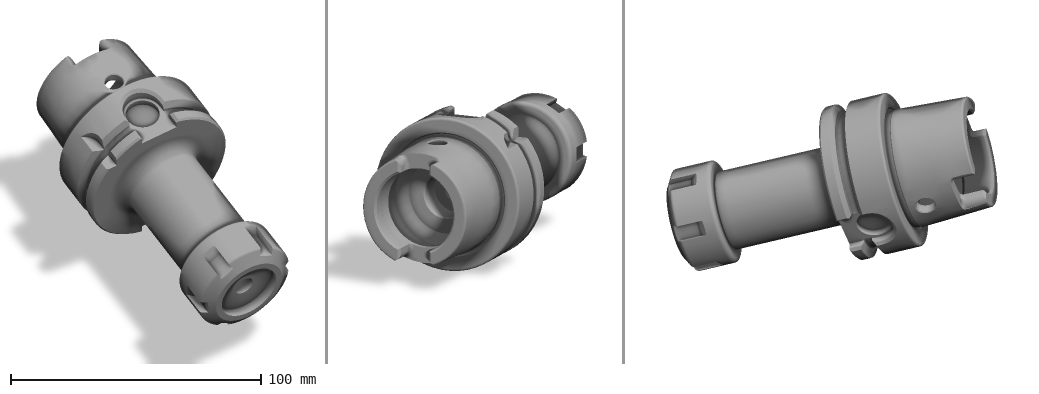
import cadquery as cq
import math


OVERALL_LENGTH = 127.1

FLANGE_X = 32.0
TAPER_END_X = 29.9
TAPER_R = 24.1
TAPER_RATIO = 0.05
TIP_R = TAPER_R - TAPER_RATIO * TAPER_END_X
TIP_ROUND_R = 0.9
RELIEF_R = 23.8
FACE_RECESS_R = 25.5
FACE_RECESS_DEPTH = 0.6

BORE_R = 16.8
MOUTH_CHAMFER = 0.9
BORE_LIP_DEPTH = 12.2
CAVITY_R = 19.8
CAVITY_FLARE_ANGLE = 60
BORE_FLOOR_X = 30.5
BORE_FLOOR_R = 15.6
COUNTERBORE_R = 9.0
COUNTERBORE_DEPTH = 10.2
COUNTERBORE_CHAMFER = 0.5
THROUGH_R = 4.1
THROUGH_CHAMFER = 0.6
CROSS_HOLE_X = 23.0
CROSS_HOLE_R = 3.8
CROSS_HOLE_CHAMFER = 0.4

KEYWAY_HALF_WIDTH = 6.2
KEYWAY_ROUND_R = 3.0
KEYWAY_ROUND_START = 17.8
KEYWAY_CORNER_R = 1.7
KEYWAY_BEVEL = 1.0
TOP_KEYWAY_DEPTH = 6.1
BOTTOM_KEYWAY_DEPTH = 10.2

FLANGE_R = 31.5
FLANGE_END_X = 57.8
FLANGE_FRONT_ROUND_R = 1.0
FLANGE_BACK_CHAMFER = 0.8
GROOVE_R = 27.5
GROOVE_X1 = 48.2
GROOVE_X2 = 51.7
GROOVE_CORNER_R = 0.5
GROOVE_FLARE_DEPTH = 2.7
GROOVE_FLARE_RUN = GROOVE_FLARE_DEPTH * math.tan(math.radians(30))

CUTTER_X = 45.0
CUTTER_R = 8.0
SLOT_FLOOR_Z = 26.5
SLOT_CHAMFER = 1.3
POCKET_R = 6.9
POCKET_DEPTH = 2.7
NOTCH_OFFSET = 20.0

NECK_R = 16.0
NECK_FILLET_R = 5.0
NECK_CHAMFER = 0.5
NECK_END_X = 106.9
NOSE_R = NECK_R - NECK_CHAMFER
NOSE_END_X = 123.3

NUT_R = 21.0
NUT_BACK_FILLET = 1.7
NUT_CONE_X = 123.7
NUT_EDGE_FILLET = 1.4
NUT_FACE_R = 15.4
NUT_OPENING_R = 12.7
NUT_SLOT_COUNT = 6
NUT_SLOT_HALF_WIDTH = 3.2
NUT_SLOT_FLOOR_R = 18.0
NUT_SLOT_X = 112.6
NUT_SLOT_RUN = 3.2
LONG_SLOT_INDEX = 2
LONG_SLOT_EXTRA = 2.0

CLEARANCE = 2.5
MARGIN = 0.1


def revolve_about_x(profile):
    """Full turn of a profile in the XY plane (Y is the radius)."""
    return profile.close().revolve(360, (0, 0, 0), (1, 0, 0))


def edges_in_box(x_range, half_width, z_range):
    """Selector for edges lying wholly inside a box centred on Y = 0."""
    low = (x_range[0], -half_width, z_range[0])
    high = (x_range[1], half_width, z_range[1])
    return cq.selectors.BoxSelector(low, high, boundingbox=True)


def holder_blank():
    """Turned outside of the holder, from shank tip to nose."""
    profile = (
        cq.Workplane("XY")
        .moveTo(0, 0)
        .lineTo(0, TIP_R - TIP_ROUND_R)
        .radiusArc((TIP_ROUND_R, TIP_R), TIP_ROUND_R)
        .lineTo(TAPER_END_X, TAPER_R)
        .lineTo(TAPER_END_X + TAPER_R - RELIEF_R, RELIEF_R)
        .lineTo(FLANGE_X + FACE_RECESS_DEPTH, RELIEF_R)
        .lineTo(FLANGE_X + FACE_RECESS_DEPTH, FACE_RECESS_R - FACE_RECESS_DEPTH)
        .lineTo(FLANGE_X, FACE_RECESS_R)
        .lineTo(FLANGE_X, FLANGE_R - FLANGE_FRONT_ROUND_R)
        .radiusArc((FLANGE_X + FLANGE_FRONT_ROUND_R, FLANGE_R), FLANGE_FRONT_ROUND_R)
        .lineTo(FLANGE_END_X - FLANGE_BACK_CHAMFER, FLANGE_R)
        .lineTo(FLANGE_END_X, FLANGE_R - FLANGE_BACK_CHAMFER)
        .lineTo(FLANGE_END_X, NECK_R + NECK_FILLET_R)
        .radiusArc((FLANGE_END_X + NECK_FILLET_R, NECK_R), -NECK_FILLET_R)
        .lineTo(NECK_END_X - NECK_CHAMFER, NECK_R)
        .lineTo(NECK_END_X, NOSE_R)
        .lineTo(NOSE_END_X, NOSE_R)
        .lineTo(NOSE_END_X, 0)
    )
    return revolve_about_x(profile)


def gripper_groove():
    """Ring-shaped cutter for the groove around the flange."""
    flare_r = FLANGE_R - GROOVE_FLARE_DEPTH
    return revolve_about_x(
        cq.Workplane("XY")
        .moveTo(GROOVE_X1 - GROOVE_FLARE_RUN, FLANGE_R)
        .lineTo(GROOVE_X1, flare_r)
        .lineTo(GROOVE_X1, GROOVE_R + GROOVE_CORNER_R)
        .radiusArc((GROOVE_X1 + GROOVE_CORNER_R, GROOVE_R), -GROOVE_CORNER_R)
        .lineTo(GROOVE_X2 - GROOVE_CORNER_R, GROOVE_R)
        .radiusArc((GROOVE_X2, GROOVE_R + GROOVE_CORNER_R), -GROOVE_CORNER_R)
        .lineTo(GROOVE_X2, flare_r)
        .lineTo(GROOVE_X2 + GROOVE_FLARE_RUN, FLANGE_R)
        .lineTo(GROOVE_X2 + GROOVE_FLARE_RUN, FLANGE_R + CLEARANCE)
        .lineTo(GROOVE_X1 - GROOVE_FLARE_RUN, FLANGE_R + CLEARANCE)
    )


def holder_bore():
    """Stepped bore of the holder as a cutting solid."""
    cavity_x = BORE_LIP_DEPTH + (CAVITY_R - BORE_R) / math.tan(math.radians(CAVITY_FLARE_ANGLE))
    floor_chamfer = CAVITY_R - BORE_FLOOR_R
    counterbore_x = BORE_FLOOR_X + COUNTERBORE_DEPTH
    profile = (
        cq.Workplane("XY")
        .moveTo(-CLEARANCE, 0)
        .lineTo(-CLEARANCE, BORE_R + MOUTH_CHAMFER + CLEARANCE)
        .lineTo(MOUTH_CHAMFER, BORE_R)
        .lineTo(BORE_LIP_DEPTH, BORE_R)
        .lineTo(cavity_x, CAVITY_R)
        .lineTo(BORE_FLOOR_X - floor_chamfer, CAVITY_R)
        .lineTo(BORE_FLOOR_X, BORE_FLOOR_R)
        .lineTo(BORE_FLOOR_X, COUNTERBORE_R + COUNTERBORE_CHAMFER)
        .lineTo(BORE_FLOOR_X + COUNTERBORE_CHAMFER, COUNTERBORE_R)
        .lineTo(counterbore_x, COUNTERBORE_R)
        .lineTo(counterbore_x, THROUGH_R + THROUGH_CHAMFER)
        .lineTo(counterbore_x + THROUGH_CHAMFER, THROUGH_R)
        .lineTo(OVERALL_LENGTH, THROUGH_R)
        .lineTo(OVERALL_LENGTH, 0)
    )
    return revolve_about_x(profile)


def keyway(depth):
    """Cutter for the tip keyway on the +Z side; its walls round outwards."""
    wide = KEYWAY_HALF_WIDTH + KEYWAY_ROUND_R
    round_end = KEYWAY_ROUND_START + KEYWAY_ROUND_R
    top = TAPER_R + CLEARANCE
    cutter = (
        cq.Workplane("YZ", origin=(-CLEARANCE, 0, 0))
        .moveTo(-KEYWAY_HALF_WIDTH, 0)
        .lineTo(KEYWAY_HALF_WIDTH, 0)
        .lineTo(KEYWAY_HALF_WIDTH, KEYWAY_ROUND_START)
        .radiusArc((wide, round_end), KEYWAY_ROUND_R)
        .lineTo(wide, top)
        .lineTo(-wide, top)
        .lineTo(-wide, round_end)
        .radiusArc((-KEYWAY_HALF_WIDTH, KEYWAY_ROUND_START), KEYWAY_ROUND_R)
        .close()
        .extrude(CLEARANCE + depth)
    )
    wall_ends = cutter.faces(">X").edges("(not <Z) and (not >Z)")
    mouth_half_width = KEYWAY_HALF_WIDTH + KEYWAY_BEVEL + CLEARANCE
    mouth = (
        cq.Workplane("XY")
        .moveTo(-CLEARANCE, -mouth_half_width)
        .lineTo(KEYWAY_BEVEL, -KEYWAY_HALF_WIDTH)
        .lineTo(KEYWAY_BEVEL, KEYWAY_HALF_WIDTH)
        .lineTo(-CLEARANCE, mouth_half_width)
        .close()
        .extrude(top)
    )
    return wall_ends.fillet(KEYWAY_CORNER_R).union(mouth)


def round_ended_slot(floor_z, height, half_width):
    """Slot cutter with a round end about CUTTER_X that runs out past the flange along +X."""
    end_x = FLANGE_END_X + CLEARANCE
    return (
        cq.Workplane("XY", origin=(0, 0, floor_z))
        .moveTo(end_x, -half_width)
        .lineTo(CUTTER_X, -half_width)
        .threePointArc((CUTTER_X - half_width, 0), (CUTTER_X, half_width))
        .lineTo(end_x, half_width)
        .close()
        .extrude(height)
    )


def drive_slot():
    """Drive slot on the +Z side."""
    return round_ended_slot(SLOT_FLOOR_Z, FLANGE_R, CUTTER_R)


def slot_pocket():
    """Shallow round pocket in the floor of the +Z drive slot."""
    return (
        cq.Workplane("XY", origin=(CUTTER_X, 0, SLOT_FLOOR_Z - POCKET_DEPTH))
        .circle(POCKET_R)
        .extrude(POCKET_DEPTH + CLEARANCE)
    )


def corner_notch():
    """Square notch at the -Y +Z corner of the flange."""
    return round_ended_slot(NOTCH_OFFSET, FLANGE_R, CUTTER_R).translate((0, -NOTCH_OFFSET - CUTTER_R, 0))


def on_bottom(cutter):
    """Turn a cutter from the +Z side to the -Z side."""
    return cutter.rotate((0, 0, 0), (1, 0, 0), 180)


def make_holder():
    """Holder: turned blank with its slots, groove, bore, cross hole and keyways."""
    cross_hole = (
        cq.Workplane("XY", origin=(CROSS_HOLE_X, 0, 0))
        .circle(CROSS_HOLE_R)
        .extrude(TAPER_R + CLEARANCE, both=True)
    )
    body = holder_blank().cut(drive_slot()).cut(on_bottom(drive_slot()))
    rim_x = (FLANGE_X, FLANGE_END_X - FLANGE_BACK_CHAMFER / 2)
    rim_z = (SLOT_FLOOR_Z + CLEARANCE, FLANGE_R + CLEARANCE)
    for z_range in (rim_z, (-rim_z[1], -rim_z[0])):
        body = body.edges(edges_in_box(rim_x, CUTTER_R + MARGIN, z_range)).chamfer(SLOT_CHAMFER)

    body = body.cut(gripper_groove()).cut(corner_notch())
    body = body.cut(slot_pocket()).cut(on_bottom(slot_pocket()))
    body = body.cut(holder_bore()).cut(cross_hole)
    hole_x = (CROSS_HOLE_X - CROSS_HOLE_R - MARGIN, CROSS_HOLE_X + CROSS_HOLE_R + MARGIN)
    hole_z = (CAVITY_R + MARGIN, TAPER_R)
    for z_range in (hole_z, (-hole_z[1], -hole_z[0])):
        body = body.edges(edges_in_box(hole_x, CROSS_HOLE_R + MARGIN, z_range)).chamfer(CROSS_HOLE_CHAMFER)

    return body.cut(keyway(TOP_KEYWAY_DEPTH)).cut(on_bottom(keyway(BOTTOM_KEYWAY_DEPTH)))


def nut_slot(extra_length):
    """Wrench slot on the -Y side of the nut, with a sloped end."""
    start_x = NUT_SLOT_X - extra_length
    reach = NUT_R + CLEARANCE
    slope = NUT_SLOT_RUN / (NUT_R - NUT_SLOT_FLOOR_R)
    return (
        cq.Workplane("XY", origin=(0, 0, -NUT_SLOT_HALF_WIDTH))
        .moveTo(start_x + NUT_SLOT_RUN, -NUT_SLOT_FLOOR_R)
        .lineTo(OVERALL_LENGTH + CLEARANCE, -NUT_SLOT_FLOOR_R)
        .lineTo(OVERALL_LENGTH + CLEARANCE, -reach)
        .lineTo(start_x - CLEARANCE * slope, -reach)
        .close()
        .extrude(2 * NUT_SLOT_HALF_WIDTH)
    )


def make_nut():
    """Clamping nut seated on the holder's nose, with wrench slots all around."""
    blank = revolve_about_x(
        cq.Workplane("XY")
        .moveTo(NECK_END_X, NOSE_R)
        .lineTo(NECK_END_X, NUT_R)
        .lineTo(NUT_CONE_X, NUT_R)
        .lineTo(OVERALL_LENGTH, NUT_FACE_R)
        .lineTo(OVERALL_LENGTH, NUT_OPENING_R)
        .lineTo(NOSE_END_X, NUT_OPENING_R)
        .lineTo(NOSE_END_X, NOSE_R)
    )
    wide = NUT_R + MARGIN
    cone_edge = edges_in_box((NUT_CONE_X - MARGIN, NUT_CONE_X + MARGIN), wide, (-wide, wide))
    nut = blank.faces("<X").edges(cq.selectors.RadiusNthSelector(-1)).fillet(NUT_BACK_FILLET)
    nut = nut.edges(cone_edge).fillet(NUT_EDGE_FILLET)
    for index in range(NUT_SLOT_COUNT):
        extra_length = LONG_SLOT_EXTRA if index == LONG_SLOT_INDEX else 0
        angle = -360 / NUT_SLOT_COUNT * index
        nut = nut.cut(nut_slot(extra_length).rotate((0, 0, 0), (1, 0, 0), angle))
    return nut


holder = make_holder()
nut = make_nut()
result = cq.Compound.makeCompound([holder.val(), nut.val()])